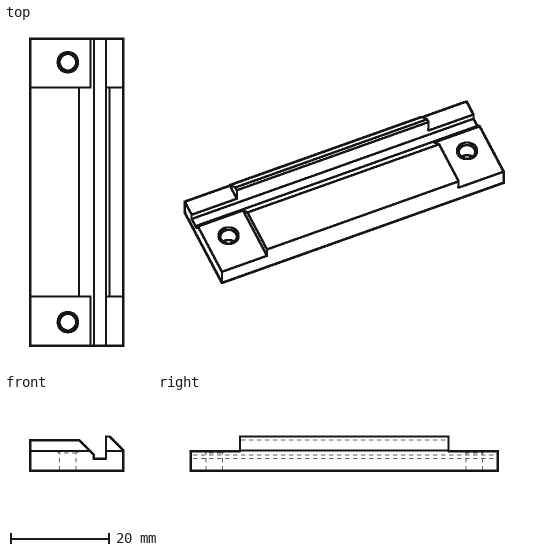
import cadquery as cq

width = 19.0
length = 62.4
height = 7.0

deck_height = 6.25
end_height = 4.0
groove_floor = 2.5

deck_width = 10.0
groove_left = 13.0
groove_right = 15.4
lip_top_width = 0.75

ramp_foot = deck_height - (groove_left - deck_width)
lip_slope_start = groove_right + lip_top_width
lip_outer_height = height - (width - lip_slope_start)

end_length = 10.0
hole_x = 7.7
hole_spacing = 52.8
hole_diameter = 3.4
hole_chamfer = 0.4


def make_rail():
    """Full-length bar with a ramped deck, a groove and a pointed lip."""
    profile = [
        (0, 0),
        (width, 0),
        (width, lip_outer_height),
        (lip_slope_start, height),
        (groove_right, height),
        (groove_right, groove_floor),
        (groove_left, groove_floor),
        (groove_left, ramp_foot),
        (deck_width, deck_height),
        (0, deck_height),
    ]
    return cq.Workplane("XZ").polyline(profile).close().extrude(length / 2, both=True)


def make_end_cut(side):
    """Block that lowers one end to end_height; side is -1 or 1 along Y."""
    center_y = side * (length - end_length) / 2
    return (
        cq.Workplane("XY", origin=(width / 2, center_y, end_height))
        .rect(width, end_length)
        .extrude(height - end_height)
    )


def make_hole_cut(side):
    """Through hole with a chamfered mouth on the lowered end face."""
    center = (hole_x, side * hole_spacing / 2)
    shaft = cq.Workplane("XY").center(*center).circle(hole_diameter / 2).extrude(end_height)
    mouth = (
        cq.Workplane("XY", origin=(*center, end_height))
        .circle(hole_diameter / 2 + hole_chamfer)
        .workplane(offset=-hole_chamfer)
        .circle(hole_diameter / 2)
        .loft()
    )
    return shaft.union(mouth)


result = make_rail()
for side in (-1, 1):
    result = result.cut(make_end_cut(side))
    result = result.cut(make_hole_cut(side))